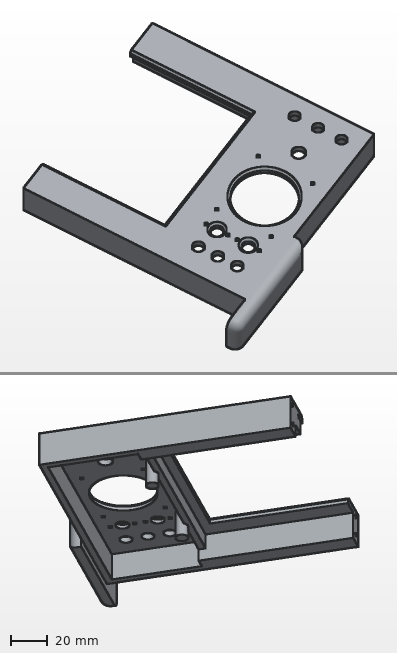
import cadquery as cq

total_length = 150.5
total_width = 152.2
plate_thickness = 7.9
body_length = total_length - plate_thickness
body_width = 132.6
body_height = 20.0
ceiling = 4.0
rear_wall = 4.0
edge_chamfer = 1.5

opening_depth = 78.1
opening_width = 88.9
opening_center_y = 65.0

arm_wall = 10.0
arm_shelf_width = 19.8
shelf_depth = 12.8
rib_front_x = 83.7
rib_thickness = 4.0

post_diameter = 7.0
post_x = 89.7
post_spacing = 58.0

hole_center_x = 114.5
main_bore = 37.5
screw_diameter = 2.0
main_screw_half_x = 17.5
main_screw_half_y = 21.3
socket_bore = 7.5
socket_y = 32.1
socket_half_spacing = 10.0
socket_screw_offset = 7.0
front_hole_diameter = 7.0
front_hole_y = 16.9
front_hole_pitch = 12.5
back_hole_diameter = 6.5
back_hole_y = 120.0
back_hole_pitch = 15.0
single_hole_diameter = 8.0
single_hole_y = 100.0

end_hole_depth = 15.2
end_hole_upper_z = -3.5
end_hole_lower_z = -15.0
end_hole_edge = arm_wall / 2
back_corner_hole_y = 129.1
shelf_hole_y = 116.2

plate_height = 25.0
plate_end_y = 50.4
plate_start_y = body_width - total_width
plate_radius = 6.0


def block(x_range, y_range, z_range):
    """Box spanning the given (low, high) ranges."""
    sizes = [high - low for low, high in (x_range, y_range, z_range)]
    return cq.Workplane("XY").box(*sizes, centered=False).translate((x_range[0], y_range[0], z_range[0]))


def vertical_holes(points, diameter):
    """Cylinders running down through the top plate."""
    return cq.Workplane("XY").pushPoints(points).circle(diameter / 2).extrude(-ceiling)


def chamfered_bore(x, y, diameter):
    """Bore through the top plate with a chamfered upper rim."""
    radius = diameter / 2
    rim = radius + edge_chamfer
    profile = [(0, 0), (rim, 0), (radius, -edge_chamfer), (radius, -ceiling), (0, -ceiling)]
    return cq.Workplane("XZ").polyline(profile).close().revolve(360, (0, 0), (0, 1)).translate((x, y, 0))


def hole_row(y, pitch):
    """Three hole centres in a row along X."""
    return [(hole_center_x + step * pitch, y) for step in (-1, 0, 1)]


def make_body():
    """Block with its underside hollowed, leaving a top plate, two arms and a cross rib."""
    body = block((0, body_length), (0, body_width), (-body_height, 0))
    rib_back_x = rib_front_x + rib_thickness
    pocket_end_x = body_length - rear_wall
    arm_recess = block(
        (0, rib_front_x), (arm_wall, body_width - arm_shelf_width), (-body_height, -ceiling)
    )
    lower_recess = block(
        (0, rib_back_x), (arm_wall, body_width - arm_wall), (-body_height, -shelf_depth)
    )
    rear_pocket = block(
        (rib_back_x, pocket_end_x), (rear_wall, body_width - rear_wall), (-body_height, -ceiling)
    )
    return body.cut(arm_recess).cut(lower_recess).cut(rear_pocket)


def make_opening():
    """Opening between the arms, widened at the top by a chamfer on its three sides."""
    low_y = opening_center_y - opening_width / 2
    high_y = opening_center_y + opening_width / 2
    opening = block((0, opening_depth), (low_y, high_y), (-body_height, 0))
    flare_length = opening_depth + 2 * edge_chamfer
    flare_width = opening_width + 2 * edge_chamfer
    flare = (
        cq.Workplane("XY")
        .center(opening_depth / 2, opening_center_y)
        .rect(flare_length, flare_width)
        .extrude(-edge_chamfer, taper=45)
    )
    return opening.union(flare)


def make_posts():
    """Posts from the top plate down to the underside."""
    points = [(post_x, opening_center_y + side * post_spacing / 2) for side in (-1, 1)]
    posts = cq.Workplane("XY").workplane(offset=-ceiling).pushPoints(points)
    return posts.circle(post_diameter / 2).extrude(ceiling - body_height)


def make_plate_holes():
    """All holes through the top plate."""
    main_screws = [
        (hole_center_x + side_x * main_screw_half_x, opening_center_y + side_y * main_screw_half_y)
        for side_x in (-1, 1)
        for side_y in (-1, 1)
    ]
    holes = chamfered_bore(hole_center_x, opening_center_y, main_bore)
    holes = holes.union(vertical_holes(main_screws, screw_diameter))
    for side in (-1, 1):
        socket_x = hole_center_x + side * socket_half_spacing
        screws = [(socket_x - socket_screw_offset, socket_y), (socket_x + socket_screw_offset, socket_y)]
        holes = holes.union(chamfered_bore(socket_x, socket_y, socket_bore))
        holes = holes.union(vertical_holes(screws, screw_diameter))
    holes = holes.union(vertical_holes(hole_row(front_hole_y, front_hole_pitch), front_hole_diameter))
    holes = holes.union(vertical_holes(hole_row(back_hole_y, back_hole_pitch), back_hole_diameter))
    return holes.union(vertical_holes([(hole_center_x, single_hole_y)], single_hole_diameter))


def make_end_holes():
    """Blind screw holes in the arm ends, running along X."""
    points = [
        (end_hole_edge, end_hole_upper_z),
        (end_hole_edge, end_hole_lower_z),
        (body_width - end_hole_edge, end_hole_lower_z),
        (back_corner_hole_y, end_hole_upper_z),
        (shelf_hole_y, end_hole_upper_z),
    ]
    return cq.Workplane("YZ").pushPoints(points).circle(screw_diameter / 2).extrude(end_hole_depth)


def make_side_plate():
    """Plate with two rounded corners at its -Y end and a rounded outer face."""
    plate = block((body_length, total_length), (plate_start_y, plate_end_y), (-plate_height, 0))
    plate = plate.edges("|X and <Y").fillet(plate_radius)
    return plate.faces(">X").edges().fillet(plate_radius)


result = make_body().cut(make_opening()).union(make_posts()).cut(make_plate_holes())
result = result.cut(make_end_holes()).union(make_side_plate())